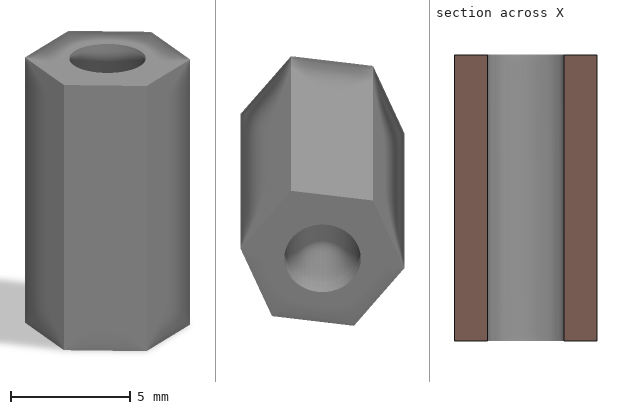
import cadquery as cq
import math

length = 12.0
across_flats = 6.0
bore_diameter = 3.2

across_corners = across_flats / math.cos(math.radians(30))

hex_body = cq.Workplane("XY").polygon(6, across_corners).extrude(length)

result = hex_body.faces(">Z").workplane().hole(bore_diameter)